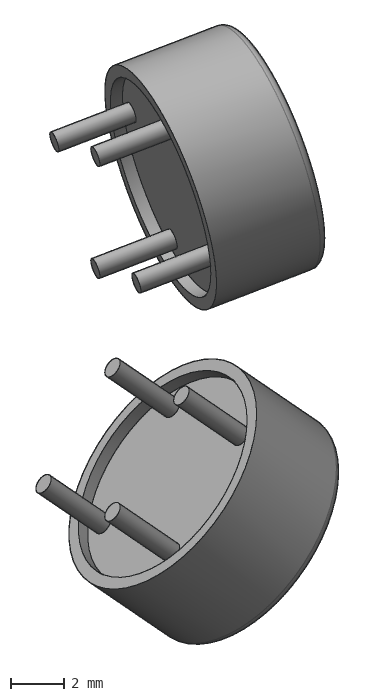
import cadquery as cq

can_diameter = 9.8
can_length = 4.6
back_edge_radius = 0.3

rim_width = 0.5
recess_depth = 0.5

pin_diameter = 0.8
pin_projection = 2.7
pin_circle_radius = 3.6
pin_count = 4

overall_length = can_length + pin_projection
rim_y = pin_projection
floor_y = rim_y + recess_depth


def cylinder_along_y(diameter, start_y, end_y):
    """Solid cylinder on the Y axis between two Y positions."""
    base = cq.Workplane("XZ", origin=(0, start_y, 0))
    return base.circle(diameter / 2).extrude(start_y - end_y)


def make_can():
    can = cylinder_along_y(can_diameter, rim_y, overall_length)
    can = can.faces(">Y").edges().fillet(back_edge_radius)
    recess = cylinder_along_y(can_diameter - 2 * rim_width, rim_y, floor_y)
    return can.cut(recess)


def make_pins():
    return (
        cq.Workplane("XZ")
        .polarArray(pin_circle_radius, 0, 360, pin_count)
        .circle(pin_diameter / 2)
        .extrude(-floor_y)
    )


result = make_can().union(make_pins())